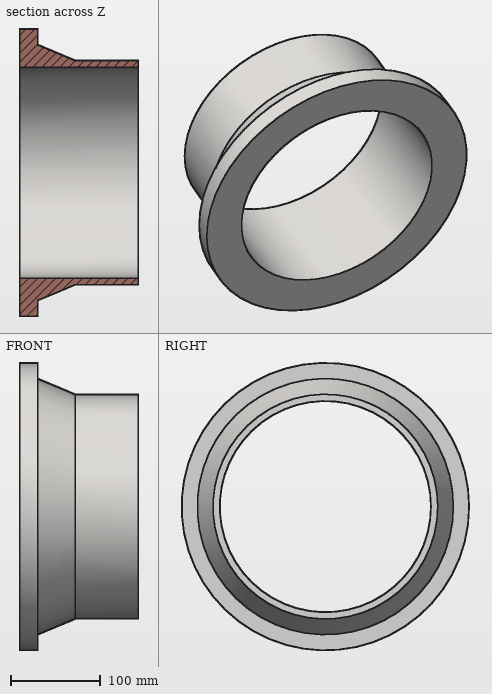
import cadquery as cq

total_length = 132.0
flange_thickness = 20.0
cone_length = 41.5
flange_diameter = 320.0
cone_base_diameter = 284.8
pipe_diameter = 250.0
bore_diameter = 234.5

cone_end = flange_thickness + cone_length
bore_radius = bore_diameter / 2
flange_radius = flange_diameter / 2
cone_base_radius = cone_base_diameter / 2
pipe_radius = pipe_diameter / 2

half_section = [
    (0, bore_radius),
    (0, flange_radius),
    (flange_thickness, flange_radius),
    (flange_thickness, cone_base_radius),
    (cone_end, pipe_radius),
    (total_length, pipe_radius),
    (total_length, bore_radius),
]

result = (
    cq.Workplane("XY")
    .polyline(half_section)
    .close()
    .revolve(360, (0, 0, 0), (1, 0, 0))
)